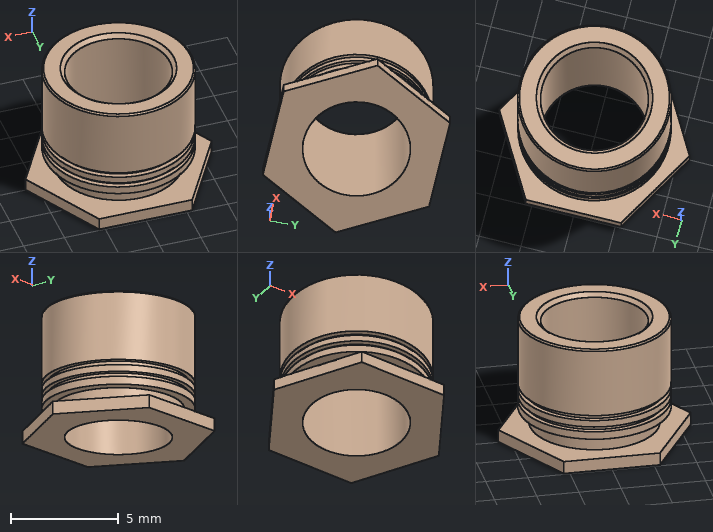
import cadquery as cq

hex_across_corners = 9.12
total_height = 6.0
bore_diameter = 5.0

body_diameter = 7.12
groove_diameter = 6.61
neck_diameter = 6.1

flange_top = 0.62
neck_top = 1.4
lower_ring_top = 1.79
lower_groove_top = 2.03
upper_ring_top = 2.36
upper_groove_top = 2.62

outer_chamfer = 0.08
bore_chamfer = 0.2


def cylinder(diameter, bottom, top):
    """Solid cylinder on the Z axis between two heights."""
    return cq.Workplane("XY").workplane(offset=bottom).circle(diameter / 2).extrude(top - bottom)


part = cq.Workplane("XY").polygon(6, hex_across_corners).extrude(flange_top)

steps = [
    (neck_diameter, neck_top),
    (body_diameter, lower_ring_top),
    (groove_diameter, lower_groove_top),
    (body_diameter, upper_ring_top),
    (groove_diameter, upper_groove_top),
]
bottom = flange_top
for diameter, top in steps:
    part = part.union(cylinder(diameter, bottom, top))
    bottom = top

barrel = cylinder(body_diameter, upper_groove_top, total_height)
part = part.union(barrel.faces(">Z").edges().chamfer(outer_chamfer))

part = part.cut(cylinder(bore_diameter, 0, total_height))
mouth_edge = cq.selectors.RadiusNthSelector(0)
result = part.faces(">Z").edges(mouth_edge).chamfer(bore_chamfer)